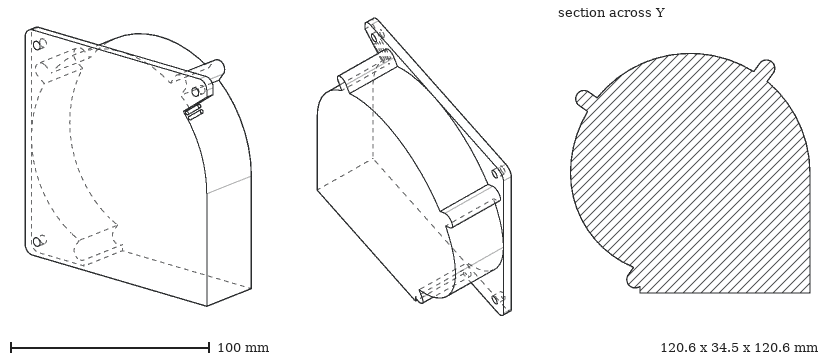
import cadquery as cq
import math

SIDE = 120.6
DEPTH = 34.5
HALF = SIDE / 2

FLANGE_THICKNESS = 5.0
CORNER_RADIUS = 5.0
HOLE_DIAMETER = 4.5
HOLE_OFFSET = 52.6
NOTCH_TOP = 51.7
NOTCH_ANGLE = 42.1

SCROLL_DEPTH = DEPTH - FLANGE_THICKNESS
LOWER_SCROLL_RADIUS = 51.3
OUTLET_LEFT = -25.3

LUG_RADIUS = 4.2
LUG_LENGTH = 9.6
UPPER_LUG_DISTANCE = 65.2
LUG_TOP_RIGHT_ANGLE = 54.0
LUG_TOP_LEFT_ANGLE = 145.0
LUG_BOTTOM_ANGLE = LUG_TOP_LEFT_ANGLE + 90
LUG_BOTTOM_CENTRE = (-27.7, -53.5)

WIRE_DIAMETER = 1.9
WIRE_ANGLE = 35.0
WIRE_TIPS = ((53.9, 45.0), (55.5, 42.5))
WIRE_LENGTH = 10.9
WIRE_DEPTH = 1.7


def polar(distance, angle):
    """Point in the XZ plane at a distance and angle (degrees from +X towards +Z) from the axis."""
    return (distance * math.cos(math.radians(angle)), distance * math.sin(math.radians(angle)))


def xz_plane(y):
    """Sketch plane at depth y with local axes X and Z; negative extrusions go towards +Y."""
    return cq.Workplane("XZ", origin=(0, y, 0))


def make_wire(tip):
    """Stub of lead wire, running from its tip into the flange rim."""
    tip_x, tip_z = tip
    outward_x, outward_z = polar(1, WIRE_ANGLE)
    inward = cq.Vector(-outward_x, 0, -outward_z)
    start = cq.Vector(tip_x, WIRE_DEPTH, tip_z)
    return cq.Workplane(obj=cq.Solid.makeCylinder(WIRE_DIAMETER / 2, WIRE_LENGTH, start, inward))


def make_flange():
    """Square plate with a curved, notched right side and three screw holes."""
    plate = (
        xz_plane(0)
        .moveTo(-HALF, -HALF)
        .lineTo(HALF, -HALF)
        .lineTo(HALF, 0)
        .threePointArc(polar(HALF, NOTCH_ANGLE / 2), polar(HALF, NOTCH_ANGLE))
        .lineTo(HALF, NOTCH_TOP)
        .lineTo(HALF, HALF)
        .lineTo(-HALF, HALF)
        .close()
        .extrude(-FLANGE_THICKNESS)
    )
    rounded_corners = ((-HALF, -HALF), (-HALF, HALF), (HALF, HALF))
    for x, z in rounded_corners:
        corner = cq.selectors.NearestToPointSelector((x, FLANGE_THICKNESS / 2, z))
        plate = plate.edges("|Y").edges(corner).fillet(CORNER_RADIUS)

    inset = HOLE_OFFSET / HALF
    hole_centres = [(x * inset, z * inset) for x, z in rounded_corners]
    holes = xz_plane(0).pushPoints(hole_centres).circle(HOLE_DIAMETER / 2).extrude(-FLANGE_THICKNESS)
    return plate.cut(holes)


def make_lug(centre, angle):
    """Full-depth lug with a rounded outer end, pointing outwards at the given angle."""
    x, z = centre
    end = xz_plane(FLANGE_THICKNESS).center(x, z).circle(LUG_RADIUS).extrude(-SCROLL_DEPTH)
    web = (
        xz_plane(FLANGE_THICKNESS)
        .center(x, z)
        .transformed(rotate=(0, 0, angle))
        .center(-LUG_LENGTH / 2, 0)
        .rect(LUG_LENGTH, 2 * LUG_RADIUS)
        .extrude(-SCROLL_DEPTH)
    )
    return end.union(web)


def make_scroll():
    """Scroll with a downward outlet duct and three screw lugs."""
    lower_centre_x = LOWER_SCROLL_RADIUS - HALF
    end_angle = 180 + math.degrees(math.acos((lower_centre_x - OUTLET_LEFT) / LOWER_SCROLL_RADIUS))
    mid_x, mid_z = polar(LOWER_SCROLL_RADIUS, (180 + end_angle) / 2)
    scroll_end_z = polar(LOWER_SCROLL_RADIUS, end_angle)[1]
    scroll = (
        xz_plane(FLANGE_THICKNESS)
        .moveTo(HALF, -HALF)
        .lineTo(HALF, 0)
        .threePointArc((0, HALF), (-HALF, 0))
        .threePointArc((lower_centre_x + mid_x, mid_z), (OUTLET_LEFT, scroll_end_z))
        .lineTo(OUTLET_LEFT, -HALF)
        .close()
        .extrude(-SCROLL_DEPTH)
    )
    lugs = (
        (polar(UPPER_LUG_DISTANCE, LUG_TOP_RIGHT_ANGLE), LUG_TOP_RIGHT_ANGLE),
        (polar(UPPER_LUG_DISTANCE, LUG_TOP_LEFT_ANGLE), LUG_TOP_LEFT_ANGLE),
        (LUG_BOTTOM_CENTRE, LUG_BOTTOM_ANGLE),
    )
    for centre, angle in lugs:
        scroll = scroll.union(make_lug(centre, angle))
    return scroll


def make_housing():
    """Blower housing in one piece: flange, scroll and lead wire stubs."""
    body = make_flange().union(make_scroll())
    for tip in WIRE_TIPS:
        body = body.union(make_wire(tip))
    return body.clean()


housing = make_housing()
result = cq.Compound.makeCompound([housing.val()])